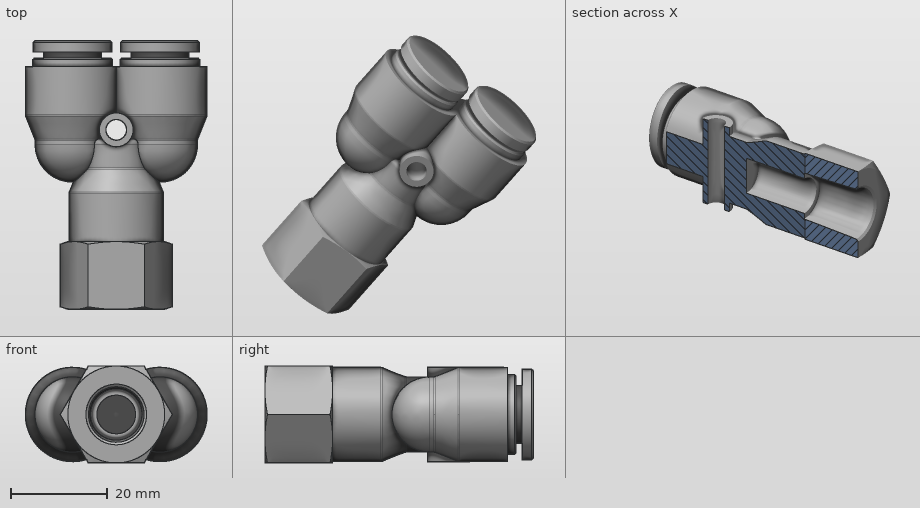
import cadquery as cq
import math


nut_across_flats = 20.0
nut_length = 13.95
nut_corner_chamfer = 0.525
nut_mouth_radius = 6.25
nut_mouth_depth = 0.4
nut_bore_start_radius = 11.45 / 2
nut_bore_end_radius = 10.6 / 2

large_radius = 19.5 / 2
small_radius = 7.75
taper_length = 5.0
blend_radius = 1.0

stem_taper_start = 24.05
stem_end = 35.1
stem_end_fillet = 1.1
inlet_bore_radius = 8.0 / 2

overall_width = 37.5
arm_offset = overall_width / 2 - large_radius
arm_top = 50.0
arm_taper_end = 39.95
dome_center = 33.95

boss_center = 37.0
boss_radius = 7.0 / 2
boss_hole_radius = 4.2 / 2

collar_radius = 16.5 / 2
collar_top = 51.8
collar_chamfer = 0.35
button_top = 55.4
button_neck_radius = 11.95 / 2
button_flange_bottom = 53.0
button_flange_width = 16.3
button_flange_height = 18.7
button_chamfer = 0.4


def y_cylinder(radius, start, end):
    """A cylinder on the Y axis between two Y positions."""
    return cq.Workplane("XZ", origin=(0, start, 0)).circle(radius).extrude(start - end)


def revolve_about_y(profile):
    """Turn a closed half profile, drawn in the XY plane, about the Y axis."""
    return profile.close().revolve(360, (0, 0, 0), (0, 1, 0))


def edges_at(body, y_positions):
    """The circular edges of a turned body that lie at the given Y positions."""
    reach = 0.05
    selected = [
        edge
        for edge in body.edges("%CIRCLE").vals()
        if any(abs(edge.Center().y - y) < reach for y in y_positions)
    ]
    return body.newObject(selected)


def make_nut():
    """Hex nut with chamfered corners and a tapered bore through its length."""
    corner_radius = nut_across_flats / math.sqrt(3)
    flat_radius = nut_across_flats / 2
    hexagon = (
        cq.Workplane("XZ")
        .polygon(6, 2 * corner_radius)
        .extrude(-nut_length)
    )
    chamfer_envelope = revolve_about_y(
        cq.Workplane("XY")
        .moveTo(0, 0)
        .lineTo(flat_radius, 0)
        .lineTo(corner_radius, nut_corner_chamfer)
        .lineTo(corner_radius, nut_length - nut_corner_chamfer)
        .lineTo(flat_radius, nut_length)
        .lineTo(0, nut_length)
    )
    tapered_bore = revolve_about_y(
        cq.Workplane("XY")
        .moveTo(0, 0)
        .lineTo(nut_mouth_radius, 0)
        .lineTo(nut_bore_start_radius, nut_mouth_depth)
        .lineTo(nut_bore_end_radius, nut_length)
        .lineTo(0, nut_length)
    )
    return hexagon.intersect(chamfer_envelope).cut(tapered_bore)


def make_stem():
    """Turned inlet leg that narrows toward the crotch."""
    taper_end = stem_taper_start + taper_length
    stem = revolve_about_y(
        cq.Workplane("XY")
        .moveTo(0, nut_length)
        .lineTo(large_radius, nut_length)
        .lineTo(large_radius, stem_taper_start)
        .lineTo(small_radius, taper_end)
        .lineTo(small_radius, stem_end)
        .lineTo(0, stem_end)
    )
    stem = edges_at(stem, [stem_taper_start, taper_end]).fillet(blend_radius)
    return stem.faces(">Y").edges().fillet(stem_end_fillet)


def make_arm():
    """Turned outlet leg on the Y axis, closed by a dome at its lower end."""
    taper_start = arm_taper_end - taper_length
    quarter = small_radius * math.sqrt(0.5)
    arm = revolve_about_y(
        cq.Workplane("XY")
        .moveTo(0, dome_center - small_radius)
        .threePointArc((quarter, dome_center - quarter), (small_radius, dome_center))
        .lineTo(small_radius, taper_start)
        .lineTo(large_radius, arm_taper_end)
        .lineTo(large_radius, arm_top)
        .lineTo(0, arm_top)
    )
    return edges_at(arm, [taper_start, arm_taper_end]).fillet(blend_radius)


def make_housing():
    """Stem, two arms and the mounting boss, with the boss hole and the blind inlet bore."""
    housing = make_stem()
    for side in (-1, 1):
        housing = housing.union(make_arm().translate((side * arm_offset, 0, 0)))
    boss_plane = cq.Workplane("XY", origin=(0, boss_center, 0))
    boss = boss_plane.circle(boss_radius).extrude(large_radius, both=True)
    boss_hole = boss_plane.circle(boss_hole_radius).extrude(large_radius, both=True)
    inlet_bore = y_cylinder(inlet_bore_radius, nut_length, stem_taper_start + taper_length)
    return housing.union(boss).cut(boss_hole).cut(inlet_bore)


def make_collar():
    """Ring that sits on an arm and surrounds the neck of the button."""
    ring = y_cylinder(collar_radius, arm_top, collar_top)
    ring = ring.faces(">Y").edges().chamfer(collar_chamfer)
    return ring.cut(y_cylinder(button_neck_radius, arm_top, collar_top))


def make_button():
    """Release button: an oval flange on a round neck."""
    flange = (
        cq.Workplane("XZ", origin=(0, button_flange_bottom, 0))
        .ellipse(button_flange_width / 2, button_flange_height / 2)
        .extrude(button_flange_bottom - button_top)
    )
    flange = flange.faces(">Y").edges().chamfer(button_chamfer)
    neck = y_cylinder(button_neck_radius, arm_top, button_flange_bottom)
    return flange.union(neck)


nut = make_nut()
housing = make_housing()
collars = []
buttons = []
for side in (-1, 1):
    port_position = (side * arm_offset, 0, 0)
    collars.append(make_collar().translate(port_position).val())
    buttons.append(make_button().translate(port_position).val())

result = cq.Compound.makeCompound([nut.val(), housing.val(), *collars, *buttons])